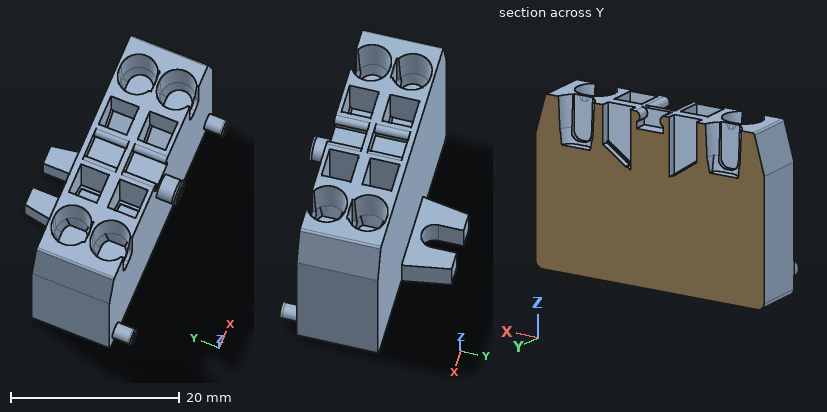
import cadquery as cq
import math

width = 32.05
height = 22.0
overall_depth = 18.4
module_pitch = 5.0
module_count = 2
depth = module_count * module_pitch
shoulder_drop = 5.13
shoulder_inset = 1.4
shoulder_round = 0.3
base_round = 1.0

pin_length = 2.5
foot_length = overall_depth - depth - pin_length
foot_height = 3.5
foot_root_width = 10.0
foot_tip_width = 8.0
foot_slot_width = 3.2
foot_slot_depth = 4.75

centre_pin_diameter = 3.0
centre_pin_dimple = 2.0
centre_pin_z = 16.95
corner_pin_diameter = 2.0
corner_pin_dimple = 1.2
corner_pin_x = 14.23
corner_pin_z = 2.72
bead_start = 0.5
bead_crest = 0.22
bead_rise = 0.1
bead_tip_inset = 0.13
dimple_depth = 0.1

wire_x = 10.3
wire_y = 2.28
oblong_straight = 0.5
wire_mouth_radius = 2.3
wire_rim_radius = 2.1
wire_rim_depth = 4.05
wire_depth = 6.0
floor_y = 2.2
floor_radius = 1.57
floor_outer_arc_x = 10.83
floor_inner_arc_x = 9.58
floor_flat_x = 8.4
wire_slot_radius = 1.12
wire_slot_depth = 5.6

pocket_outer_x = 6.55
pocket_inner_x = 2.72
pocket_front = 0.58
pocket_back = 4.17
pocket_floor_depth = 4.8
pocket_floor_slope = 35.0
step_inner_x = 3.25
step_front = 0.85
step_back = 3.88
step_depth = 0.15

groove_length = 4.23
groove_depth = 2.18
groove_half_width = 1.83
lip_radius = 0.7
lip_gap = 2.8


def box(x_min, x_max, y_min, y_max, z_min, z_max):
    size = (x_max - x_min, y_max - y_min, z_max - z_min)
    return cq.Workplane("XY").box(*size, centered=False).translate((x_min, y_min, z_min))


def front_plane(y):
    """XZ sketch plane at the given y; negative extrusion runs toward +Y."""
    return cq.Workplane(cq.Plane(origin=(0, y, 0), xDir=(1, 0, 0), normal=(0, -1, 0)))


def make_housing():
    half = width / 2
    shoulder_z = height - shoulder_drop
    outline = [
        (-half, 0),
        (half, 0),
        (half, shoulder_z),
        (half - shoulder_inset, height),
        (shoulder_inset - half, height),
        (-half, shoulder_z),
    ]
    body = front_plane(0).polyline(outline).close().extrude(-depth)
    body = body.edges("|Y and <Z").fillet(base_round)
    return body.edges("|Y and >Z").fillet(shoulder_round)


def make_foot():
    tip_y = depth + foot_length
    outline = [
        (-foot_root_width / 2, depth),
        (foot_root_width / 2, depth),
        (foot_tip_width / 2, tip_y),
        (-foot_tip_width / 2, tip_y),
    ]
    foot = cq.Workplane("XY").polyline(outline).close().extrude(foot_height)
    slot_radius = foot_slot_width / 2
    slot_end_y = tip_y - foot_slot_depth + slot_radius
    slot = box(-slot_radius, slot_radius, slot_end_y, tip_y, 0, foot_height)
    slot_end = cq.Workplane("XY").center(0, slot_end_y).circle(slot_radius).extrude(foot_height)
    return foot.cut(slot).cut(slot_end)


def make_pin(x, z, diameter, dimple_diameter):
    """Beaded pin revolved about its own axis, with a shallow dimple in its end."""
    radius = diameter / 2
    dimple_radius = dimple_diameter / 2
    profile = [
        (0, 0),
        (radius, 0),
        (radius, bead_start - pin_length),
        (radius + bead_rise, bead_crest - pin_length),
        (radius - bead_tip_inset, -pin_length),
        (dimple_radius, -pin_length),
        (dimple_radius, dimple_depth - pin_length),
        (0, dimple_depth - pin_length),
    ]
    pin = cq.Workplane("XY").polyline(profile).close().revolve(360, (0, 0), (0, 1))
    return pin.translate((x, 0, z))


def funnel_section(z, y, outer_x, inner_x, radius, flat_sided):
    """Oblong wire with arc centres at outer_x and inner_x; its inner arc may be cut by a flat."""
    flat_angle = math.acos((floor_inner_arc_x - floor_flat_x) / floor_radius)
    blend_angle = (flat_angle + math.pi / 2) / 2

    def inner_arc_point(angle):
        return (inner_x + radius * math.cos(angle), y + radius * math.sin(angle))

    path = (
        cq.Workplane("XY", origin=(0, 0, z))
        .moveTo(outer_x, y - radius)
        .threePointArc((outer_x - radius, y), (outer_x, y + radius))
        .lineTo(inner_x, y + radius)
        .threePointArc(inner_arc_point(blend_angle), inner_arc_point(flat_angle))
    )
    flat_end = inner_arc_point(-flat_angle)
    if flat_sided:
        path = path.lineTo(*flat_end)
    else:
        path = path.threePointArc(inner_arc_point(0), flat_end)
    path = path.threePointArc(inner_arc_point(-blend_angle), (inner_x, y - radius))
    return path.close().val()


def make_wire_entry():
    """Cutter for the left wire entry of the front module."""
    half_straight = oblong_straight / 2
    draft = math.degrees(math.atan((wire_mouth_radius - wire_rim_radius) / wire_rim_depth))
    mouth = (
        cq.Workplane("XY", origin=(-wire_x, wire_y, height))
        .slot2D(oblong_straight + 2 * wire_mouth_radius, 2 * wire_mouth_radius)
        .extrude(-wire_rim_depth, taper=draft)
    )

    rim_outer_x = -wire_x - half_straight
    rim_inner_x = -wire_x + half_straight
    rim_z = height - wire_rim_depth
    rim = funnel_section(rim_z, wire_y, rim_outer_x, rim_inner_x, wire_rim_radius, False)
    floor_z = height - wire_depth
    floor = funnel_section(floor_z, floor_y, -floor_outer_arc_x, -floor_inner_arc_x, floor_radius, True)
    taper = cq.Workplane(cq.Solid.makeLoft([rim, floor], True))

    slot_axis_z = height - wire_slot_depth + wire_slot_radius
    slot_half_width = wire_slot_radius + half_straight
    slot_bottom = (
        front_plane(0)
        .center(-wire_x, slot_axis_z)
        .slot2D(2 * slot_half_width, 2 * wire_slot_radius)
        .extrude(-wire_y)
    )
    slot = box(-wire_x - slot_half_width, -wire_x + slot_half_width, 0, wire_y, slot_axis_z, height)
    return mouth.union(taper).union(slot_bottom).union(slot)


def sloped_pocket(x_inner, y_min, y_max, outer_depth):
    """Vertical-walled pocket, outer_depth deep at its outer wall, whose floor falls toward x = 0."""
    fall = (pocket_outer_x - x_inner) * math.tan(math.radians(pocket_floor_slope))
    outline = [
        (-pocket_outer_x, height),
        (-pocket_outer_x, height - outer_depth),
        (-x_inner, height - outer_depth - fall),
        (-x_inner, height),
    ]
    return front_plane(y_min).polyline(outline).close().extrude(y_min - y_max)


def make_pocket():
    """Cutter for the left release pocket of the front module, with a shallow step in its floor."""
    pocket = sloped_pocket(pocket_inner_x, pocket_front, pocket_back, pocket_floor_depth)
    step = sloped_pocket(step_inner_x, step_front, step_back, pocket_floor_depth + step_depth)
    return pocket.union(step)


def make_groove():
    """Cutter for the marker groove of the front module."""
    lip_x = lip_gap / 2 + lip_radius
    lip_z = height - lip_radius
    groove = box(-groove_half_width, groove_half_width, 0, groove_length, height - groove_depth, lip_z)
    groove = groove.union(box(-lip_x, lip_x, 0, groove_length, lip_z, height))
    for side in (-1, 1):
        lip = front_plane(0).center(side * lip_x, lip_z).circle(lip_radius).extrude(-groove_length)
        groove = groove.cut(lip)
    return groove


def make_module_cutter():
    left_side = make_wire_entry().union(make_pocket())
    return left_side.union(left_side.mirror("YZ")).union(make_groove())


result = make_housing().union(make_foot())
result = result.union(make_pin(0, centre_pin_z, centre_pin_diameter, centre_pin_dimple))
for side in (-1, 1):
    corner_pin = make_pin(side * corner_pin_x, corner_pin_z, corner_pin_diameter, corner_pin_dimple)
    result = result.union(corner_pin)

module_cutter = make_module_cutter()
for index in range(module_count):
    result = result.cut(module_cutter.translate((0, index * module_pitch, 0)))